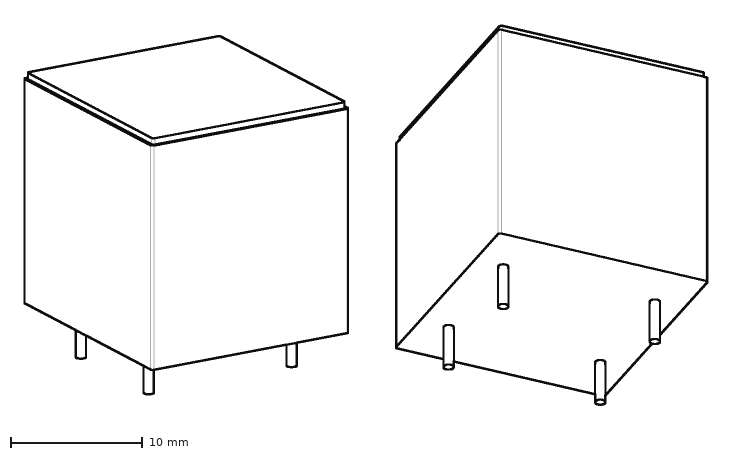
import cadquery as cq

LENGTH_X = 19.0
LENGTH_Y = 17.51
TOTAL_HEIGHT = 22.0
HOUSING_HEIGHT = 18.0
EDGE_RADIUS = 0.2

LID_HEIGHT = 0.5
LID_INSET = 0.2

PIN_DIAMETER = 0.8
PIN_SPACING_X = 10.0
PIN_SPACING_Y = 12.7
PIN_LENGTH = TOTAL_HEIGHT - HOUSING_HEIGHT - LID_HEIGHT


def rounded_block(length_x, length_y, height, base_z):
    """Block centred on the Z axis, standing on base_z, with rounded upright edges."""
    block = cq.Workplane("XY").workplane(offset=base_z).rect(length_x, length_y).extrude(height)
    return block.edges("|Z").fillet(EDGE_RADIUS)


def pins():
    """Four round pins hanging down from the underside of the housing."""
    return (
        cq.Workplane("XY")
        .rect(PIN_SPACING_X, PIN_SPACING_Y, forConstruction=True)
        .vertices()
        .circle(PIN_DIAMETER / 2)
        .extrude(-PIN_LENGTH)
    )


housing = rounded_block(LENGTH_X, LENGTH_Y, HOUSING_HEIGHT, 0)
lid = rounded_block(LENGTH_X - 2 * LID_INSET, LENGTH_Y - 2 * LID_INSET, LID_HEIGHT, HOUSING_HEIGHT)

result = housing.union(lid).union(pins())